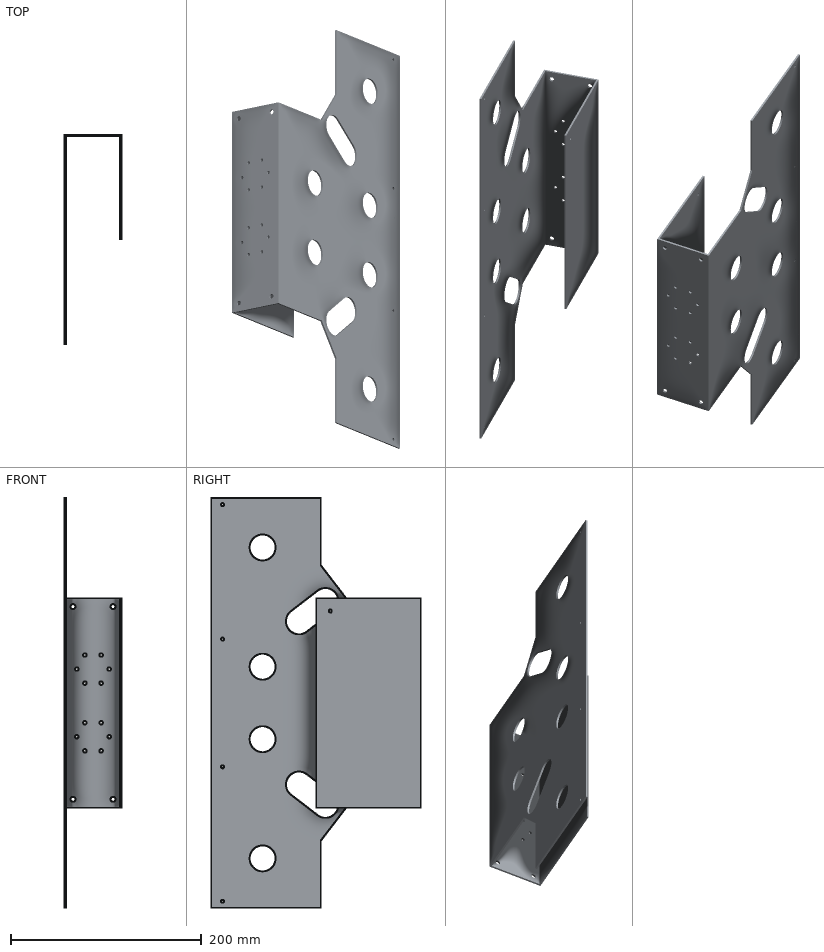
import cadquery as cq
import math

WIDTH = 60.0
DEPTH = 220.0
PLATE_HEIGHT = 430.0
WEB_HEIGHT = 220.0
SHEET = 2.0
FLANGE_DEPTH = 110.0

STEP_Y = 115.0
STEP_Z = 144.5
SHOULDER_Y = 141.5

OPENING_DIAMETER = 27.0
FRONT_OPENING_Y = 54.0
REAR_OPENING_Y = 153.3
INNER_OPENING_Z = 38.0
OUTER_OPENING_Z = 163.0

SLOT_DIAMETER = 27.0
SLOT_SPACING = 35.0
SLOT_CENTER_Y = 106.0
SLOT_CENTER_Z = 96.2

EDGE_HOLE_DIAMETER = 3.0
EDGE_HOLE_Y = 12.0
EDGE_HOLE_INNER_Z = 67.0
EDGE_HOLE_OUTER_Z = 208.0

FLANGE_HOLE_DIAMETER = 3.0
FLANGE_HOLE_Y = 125.0
FLANGE_HOLE_Z = 96.5

CORNER_HOLE_DIAMETER = 5.0
CORNER_HOLE_X = 21.0
CORNER_HOLE_Z = 101.0
CIRCLE_HOLE_DIAMETER = 3.5
CIRCLE_RADIUS = 17.0
CIRCLE_HOLE_COUNT = 6
CIRCLE_CENTER_Z = 35.5


def mirrored(y, *heights):
    """Points at one Y, at each height above and below mid-height."""
    return [(y, side * z) for z in heights for side in (1, -1)]


def holes_along_x(points, diameter, start_x):
    """Cylinders through one sheet thickness, starting at start_x."""
    plane = cq.Workplane("YZ", origin=(start_x, 0, 0))
    return plane.pushPoints(points).circle(diameter / 2).extrude(SHEET)


def left_plate():
    half_plate = PLATE_HEIGHT / 2
    half_web = WEB_HEIGHT / 2
    upper = [
        (0, half_plate),
        (STEP_Y, half_plate),
        (STEP_Y, STEP_Z),
        (SHOULDER_Y, half_web),
        (DEPTH, half_web),
    ]
    lower = [(y, -z) for y, z in reversed(upper)]
    plate = cq.Workplane("YZ").polyline(upper + lower).close().extrude(SHEET)

    openings = mirrored(FRONT_OPENING_Y, INNER_OPENING_Z, OUTER_OPENING_Z)
    openings += mirrored(REAR_OPENING_Y, INNER_OPENING_Z)
    plate = plate.cut(holes_along_x(openings, OPENING_DIAMETER, 0))

    edge_holes = mirrored(EDGE_HOLE_Y, EDGE_HOLE_INNER_Z, EDGE_HOLE_OUTER_Z)
    plate = plate.cut(holes_along_x(edge_holes, EDGE_HOLE_DIAMETER, 0))

    slot_angle = math.degrees(math.atan2(SHOULDER_Y - STEP_Y, STEP_Z - half_web))
    for side in (1, -1):
        slot = (
            cq.Workplane("YZ")
            .center(SLOT_CENTER_Y, side * SLOT_CENTER_Z)
            .slot2D(SLOT_SPACING + SLOT_DIAMETER, SLOT_DIAMETER, side * slot_angle)
            .extrude(SHEET)
        )
        plate = plate.cut(slot)
    return plate


def right_flange():
    flange = cq.Workplane("XY").box(SHEET, FLANGE_DEPTH, WEB_HEIGHT)
    flange = flange.translate((WIDTH - SHEET / 2, DEPTH - FLANGE_DEPTH / 2, 0))
    corner_hole = [(FLANGE_HOLE_Y, FLANGE_HOLE_Z)]
    return flange.cut(holes_along_x(corner_hole, FLANGE_HOLE_DIAMETER, WIDTH - SHEET))


def back_web():
    outside_face = cq.Workplane("XZ", origin=(WIDTH / 2, DEPTH, 0))
    web = outside_face.rect(WIDTH, WEB_HEIGHT).extrude(SHEET)

    corner_holes = (
        outside_face.rect(2 * CORNER_HOLE_X, 2 * CORNER_HOLE_Z, forConstruction=True)
        .vertices()
        .circle(CORNER_HOLE_DIAMETER / 2)
        .extrude(SHEET)
    )
    web = web.cut(corner_holes)

    for center_z in (CIRCLE_CENTER_Z, -CIRCLE_CENTER_Z):
        circle_holes = (
            outside_face.center(0, center_z)
            .polarArray(CIRCLE_RADIUS, 0, 360, CIRCLE_HOLE_COUNT)
            .circle(CIRCLE_HOLE_DIAMETER / 2)
            .extrude(SHEET)
        )
        web = web.cut(circle_holes)
    return web


result = left_plate().union(back_web()).union(right_flange())